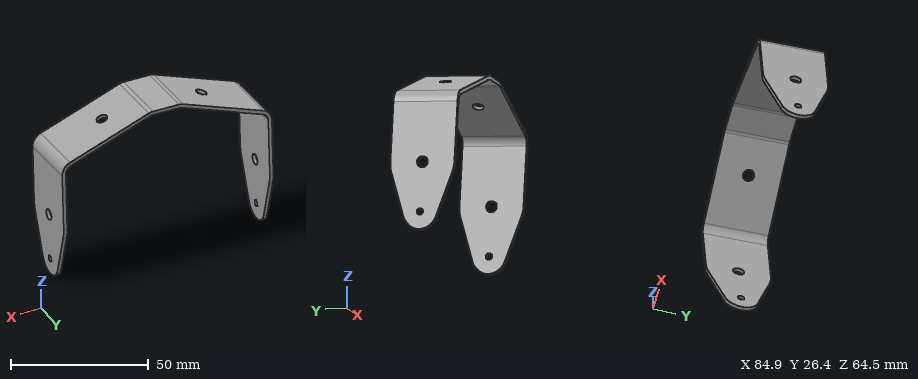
import cadquery as cq
import math

span = 84.9
sheet = 1.5
strip_width = 24.35
crown_height = 57.5
crown_half_flat = 6.1
roof_slope = 20.0
bend_radius = 5.0
tilt = 3.0

tip_radius = 6.45
taper_angle = 18.3
taper_blend = 12.2

pivot_diameter = 2.4
mount_diameter = 4.1
mount_height = 18.4
roof_hole_x = 20.1


def roof_height(x):
    """Height of the outer sloping face at distance x from the centre."""
    return crown_height - (x - crown_half_flat) * math.tan(math.radians(roof_slope))


def make_strip():
    """Constant-thickness strip following the crown, roof slopes and legs."""
    half_span = span / 2
    shoulder = roof_height(half_span)
    outer = [
        (-half_span, -tip_radius),
        (-half_span, shoulder),
        (-crown_half_flat, crown_height),
        (crown_half_flat, crown_height),
        (half_span, shoulder),
        (half_span, -tip_radius),
    ]
    crown_shift = sheet * math.tan(math.radians(roof_slope / 2))
    shoulder_drop = sheet * math.tan(math.radians((90 - roof_slope) / 2))
    inner_x = half_span - sheet
    inner_shoulder = shoulder - shoulder_drop
    inner_crown_x = crown_half_flat - crown_shift
    inner = [
        (inner_x, -tip_radius),
        (inner_x, inner_shoulder),
        (inner_crown_x, crown_height - sheet),
        (-inner_crown_x, crown_height - sheet),
        (-inner_x, inner_shoulder),
        (-inner_x, -tip_radius),
    ]

    def bent_solid(points, radius):
        body = cq.Workplane("XZ").polyline(points).close().extrude(strip_width / 2, both=True)
        return body.edges("|Y").edges("not <Z").fillet(radius)

    return bent_solid(outer, bend_radius).cut(bent_solid(inner, bend_radius - sheet))


def make_leg_outline():
    """Side outline: parallel edges tapering tangentially into the round tip."""
    angle = math.radians(taper_angle)
    half_width = strip_width / 2
    tangent_y = tip_radius * math.cos(angle)
    tangent_z = -tip_radius * math.sin(angle)
    taper_start = tangent_z + (half_width - tangent_y) / math.tan(angle)
    body = (
        cq.Workplane("YZ")
        .moveTo(-half_width, crown_height)
        .lineTo(-half_width, taper_start)
        .lineTo(-tangent_y, tangent_z)
        .threePointArc((0, -tip_radius), (tangent_y, tangent_z))
        .lineTo(half_width, taper_start)
        .lineTo(half_width, crown_height)
        .close()
        .extrude(span / 2, both=True)
    )
    taper_box = cq.selectors.BoxSelector(
        (-span, -strip_width, taper_start - sheet), (span, strip_width, taper_start + sheet)
    )
    return body.edges("|X").edges(taper_box).fillet(taper_blend)


def leg_hole(diameter, height):
    """Cutter through both legs."""
    return cq.Workplane("YZ").center(0, height).circle(diameter / 2).extrude(span / 2, both=True)


def roof_hole(side):
    """Cutter square to one roof slope; side is -1 or 1."""
    slope = math.radians(roof_slope)
    plane = cq.Plane(
        origin=(side * roof_hole_x, 0, roof_height(roof_hole_x)),
        xDir=(0, 1, 0),
        normal=(side * math.sin(slope), 0, math.cos(slope)),
    )
    return cq.Workplane(plane).circle(mount_diameter / 2).extrude(2 * sheet, both=True)


bracket = make_strip().intersect(make_leg_outline())
bracket = bracket.cut(leg_hole(pivot_diameter, 0))
bracket = bracket.cut(leg_hole(mount_diameter, mount_height))
for side in (-1, 1):
    bracket = bracket.cut(roof_hole(side))

result = bracket.rotate((0, 0, 0), (1, 0, 0), tilt)